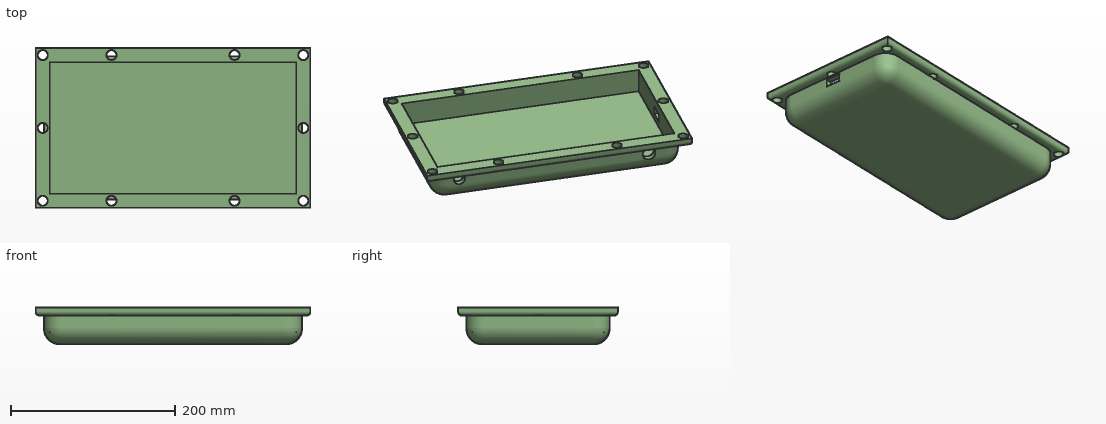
import cadquery as cq

flange_length = 335.0
flange_width = 195.0
flange_thickness = 10.0
flange_edge_radius = 5.0

total_height = 45.0
flange_overhang = 10.0
body_length = flange_length - 2 * flange_overhang
body_width = flange_width - 2 * flange_overhang
body_radius = 20.0

wall_thickness = 7.5
floor_thickness = 15.0
cavity_length = body_length - 2 * wall_thickness
cavity_width = body_width - 2 * wall_thickness

mount_hole_diameter = 12.0
mount_hole_inset = (flange_overhang + wall_thickness) / 2
mount_x = flange_length / 2 - mount_hole_inset
mount_y = flange_width / 2 - mount_hole_inset
middle_mount_x = 75.0

left_port_diameter = 16.0
left_port_x = -116.0
left_port_z = 26.0
right_port_diameter = 14.0
right_port_x = 124.0
right_port_z = 28.0

slot_width = 20.0
slot_height = 10.0
slot_z = 27.5


def make_body():
    body = cq.Workplane("XY").box(body_length, body_width, total_height, centered=(True, True, False))
    body = body.edges("|Z").fillet(body_radius)
    return body.faces("<Z").edges().fillet(body_radius)


def make_flange():
    flange_bottom = total_height - flange_thickness
    flange = (
        cq.Workplane("XY", origin=(0, 0, flange_bottom))
        .box(flange_length, flange_width, flange_thickness, centered=(True, True, False))
    )
    return flange.faces("<Z").edges().fillet(flange_edge_radius)


def make_mount_holes():
    """Cutters as deep as the flange, leaving the tray wall below it whole."""
    points = [(side * mount_x, 0) for side in (-1, 1)]
    for x in (-mount_x, -middle_mount_x, middle_mount_x, mount_x):
        for side in (-1, 1):
            points.append((x, side * mount_y))
    return (
        cq.Workplane("XY", origin=(0, 0, total_height))
        .pushPoints(points)
        .circle(mount_hole_diameter / 2)
        .extrude(-flange_thickness)
    )


def make_cavity():
    return (
        cq.Workplane("XY", origin=(0, 0, floor_thickness))
        .rect(cavity_length, cavity_width)
        .extrude(total_height - floor_thickness)
    )


def make_port(x, z, diameter):
    return (
        cq.Workplane("XZ", origin=(x, body_width / 2, z))
        .circle(diameter / 2)
        .extrude(wall_thickness)
    )


def make_slot():
    return (
        cq.Workplane("YZ", origin=(-body_length / 2, 0, slot_z))
        .rect(slot_width, slot_height)
        .extrude(wall_thickness)
    )


shell = make_body().union(make_flange()).cut(make_cavity())
shell = shell.cut(make_mount_holes())
shell = shell.cut(make_port(left_port_x, left_port_z, left_port_diameter))
shell = shell.cut(make_port(right_port_x, right_port_z, right_port_diameter))
result = shell.cut(make_slot())